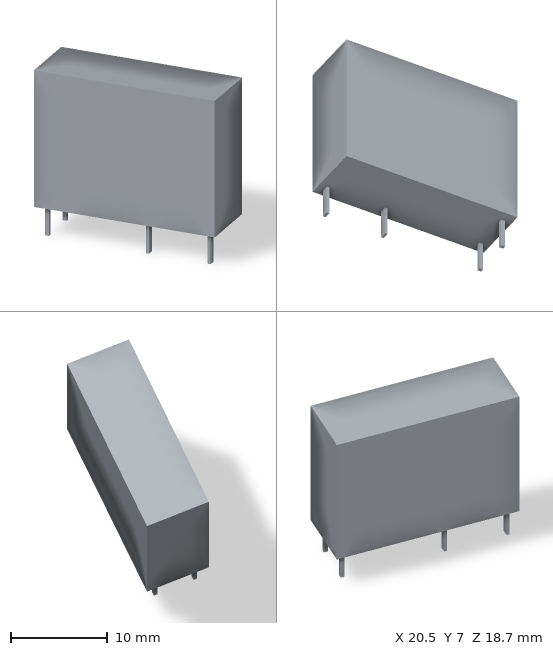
import cadquery as cq

HOUSING_LENGTH = 20.5
HOUSING_WIDTH = 7.0
TOTAL_HEIGHT = 18.7
PIN_LENGTH = 3.4
HOUSING_HEIGHT = TOTAL_HEIGHT - PIN_LENGTH

COIL_PIN_X_SIZE = 0.45
COIL_PIN_Y_SIZE = 0.4
COIL_PIN_X = -9.18
COIL_PIN_FRONT_Y = -2.34
COIL_PIN_SPACING = 4.49

CONTACT_PIN_X_SIZE = 0.33
CONTACT_PIN_Y_SIZE = 0.78
CONTACT_PIN_Y = -2.35
CONTACT_PIN_X_POSITIONS = (2.3, 9.29)


def make_housing():
    """Plain rectangular case with its underside at Z = 0."""
    return cq.Workplane("XY").box(
        HOUSING_LENGTH, HOUSING_WIDTH, HOUSING_HEIGHT, centered=(True, True, False)
    )


def make_pin(x, y, x_size, y_size):
    """Rectangular pin hanging from the underside of the housing."""
    return cq.Workplane("XY").center(x, y).rect(x_size, y_size).extrude(-PIN_LENGTH)


housing = make_housing()

coil_pins = []
for y in (COIL_PIN_FRONT_Y, COIL_PIN_FRONT_Y + COIL_PIN_SPACING):
    coil_pins.append(make_pin(COIL_PIN_X, y, COIL_PIN_X_SIZE, COIL_PIN_Y_SIZE).val())

contact_pins = []
for x in CONTACT_PIN_X_POSITIONS:
    contact_pins.append(make_pin(x, CONTACT_PIN_Y, CONTACT_PIN_X_SIZE, CONTACT_PIN_Y_SIZE).val())

result = cq.Compound.makeCompound([housing.val(), *coil_pins, *contact_pins])